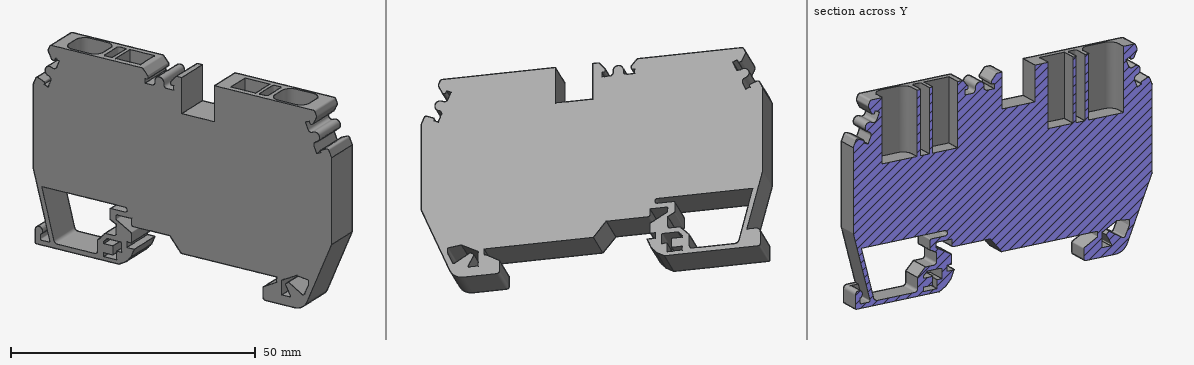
import cadquery as cq
import math


LENGTH = 72.0
THICKNESS = 8.0
HEIGHT = 44.9
END = LENGTH / 2
SPRING_LEG_Z = 16.7
HOOK_LEG_Z = 16.05
BELLY_Z = 9.15
RAIL_Z = 5.8
WALL = 1.1

CORNER_LOW_Z = 35.35
CORNER_TOP_X = 31.9
CORNER_ROUND = 0.6

NOTCH_LEFT = -0.15
NOTCH_WIDTH = 7.85
NOTCH_DEPTH = THICKNESS
CLEARANCE = 0.7

WINDOW_TOP = 13.0
SOLE_LEFT = -31.6
LATCH_LEFT = -20.5
LATCH_NECK_X = -16.0
LATCH_RIGHT = -12.25
LATCH_NOSE_Z = 4.2
SMALL_ROUND = 0.3

HOOK_LEFT = 19.45
HOOK_HOLE_LEFT = 24.0
HOOK_HOLE_BOTTOM = 2.15

CLIP_MIDDLE_X = -5.55
CLIP_CORNER_SHIFT = -0.2
CLIP_DEPTH = 3.25
CLIP_THROAT = 2.7
CLIP_STRAIGHT_THROAT = 2.95
CLIP_POCKET = 3.45
CLIP_MOUTH = 4.0
CLIP_REACH = 4.75
CLIP_LIP_TOP = 1.5
CLIP_LIP_BOTTOM = 2.2
LIP_ROUND = 0.3
STRAIGHT_LIP_ROUND = 0.5
MOUTH_ROUND = 0.6
POST_HALF_WIDTH = 1.1
POST_TOP = 1.1
POST_FOOT_ROUND = 0.7

OPENING_DEPTH = 14.4
OPENING_Y = 5.5
WIRE_X = 24.85
WIRE_SIZE = (8.3, 6.8)
WIRE_ROUND = 2.1
SLOT_X = 18.7
SLOT_WIDTH = 2.0
SLOT_ROUND = 0.35
SQUARE_X = 13.9
SQUARE_WIDTH = 6.0

CURL_LEFT = -35.5
CURL_RADIUS = 0.9
CURL_TOP = 4.0
KNOB_Z = CURL_TOP - CURL_RADIUS
STEM_WIDTH = 1.2
WEB_THICKNESS = 1.2


def rounded_outline(corners):
    """Closed XZ outline through (x, z) or (x, z, radius) corners."""
    starts, middles, ends = [], [], []
    count = len(corners)
    for i, corner in enumerate(corners):
        here = cq.Vector(corner[0], corner[1])
        radius = corner[2] if len(corner) == 3 else 0
        before = cq.Vector(*corners[i - 1][:2])
        after = cq.Vector(*corners[(i + 1) % count][:2])
        back = (before - here).normalized()
        ahead = (after - here).normalized()
        half = back.getAngle(ahead) / 2
        reach = radius / math.tan(half)
        bisector = (back + ahead).normalized() if radius else cq.Vector(0, 0)
        starts.append(here + back * reach)
        middles.append(here + bisector * (radius / math.sin(half) - radius))
        ends.append(here + ahead * reach)
    tiny = 7.2e-07
    path = cq.Workplane("XZ").moveTo(ends[-1].x, ends[-1].y)
    for i in range(count):
        if (starts[i] - ends[i - 1]).Length > tiny:
            path = path.lineTo(starts[i].x, starts[i].y)
        if (ends[i] - starts[i]).Length > tiny:
            path = path.threePointArc((middles[i].x, middles[i].y), (ends[i].x, ends[i].y))
    return path.close()


def through_body(corners):
    """Prism of a rounded outline over the full thickness."""
    return rounded_outline(corners).extrude(THICKNESS / 2, both=True)


def leg_outer_x(z):
    """X of the spring leg's slanted outer face at a height."""
    return SOLE_LEFT - (SOLE_LEFT + END) * z / SPRING_LEG_Z


def housing():
    """Body with its slanted legs, latch and hook, before any recess is cut."""
    stem_right = CURL_LEFT + STEM_WIDTH
    return through_body([
        (-END, CORNER_LOW_Z),
        (-CORNER_TOP_X, HEIGHT, CORNER_ROUND),
        (CORNER_TOP_X, HEIGHT, CORNER_ROUND),
        (END, CORNER_LOW_Z),
        (END, HOOK_LEG_Z),
        (29.2, 0, 3.25),
        (HOOK_LEFT, 0, 0.65),
        (HOOK_LEFT, 2.9, 0.35),
        (22.75, 4.7, SMALL_ROUND),
        (22.75, RAIL_Z),
        (-0.3, RAIL_Z),
        (-3.0, BELLY_Z),
        (LATCH_RIGHT, BELLY_Z, 0.4),
        (LATCH_RIGHT, 10.9),
        (LATCH_NECK_X, 10.9, SMALL_ROUND),
        (LATCH_NECK_X, 9.8, SMALL_ROUND),
        (LATCH_RIGHT, 7.6, 0.2),
        (LATCH_RIGHT, 5.4, 0.2),
        (-13.4, 5.4),
        (-13.4, LATCH_NOSE_Z),
        (-11.6, LATCH_NOSE_Z),
        (-12.4, 2.3),
        (-13.6, 0.9),
        (-15.3, 0),
        (CURL_LEFT, 0, 0.35),
        (CURL_LEFT, KNOB_Z),
        (stem_right, KNOB_Z),
        (stem_right, WALL, SMALL_ROUND),
        (leg_outer_x(WALL), WALL, SMALL_ROUND),
        (-END, SPRING_LEG_Z),
    ])


def spring_window():
    """Opening enclosed by the slanted leg, the sole and the latch."""
    slot_round = WALL / 2
    slot_bottom = WINDOW_TOP - WALL
    return through_body([
        (-33.9, WINDOW_TOP),
        (-13.3, WINDOW_TOP, slot_round),
        (-13.3, slot_bottom, slot_round),
        (-17.5, slot_bottom, SMALL_ROUND),
        (-17.5, 9.5, SMALL_ROUND),
        (LATCH_NECK_X, 8.7),
        (LATCH_NECK_X, 6.1, 0.6),
        (-18.65, 6.1),
        (LATCH_LEFT, LATCH_NOSE_Z),
        (LATCH_LEFT, WALL, 0.65),
        (-30.8, WALL, 0.9),
    ])


def latch_hole():
    """C-shaped hole in the latch."""
    return through_body([
        (-19.0, LATCH_NOSE_Z),
        (-18.15, 5.05),
        (-14.7, 5.05, SMALL_ROUND),
        (-14.7, 2.8),
        (-15.85, 2.8),
        (-15.85, 0.9),
        (-19.0, 0.9),
        (-19.0, 1.7),
        (-16.8, 1.7),
        (-16.8, 3.75),
        (-19.0, 3.75),
    ])


def hook_hole():
    """Hole in the hook foot, with a tongue pointing into it."""
    return through_body([
        (HOOK_HOLE_LEFT, 5.4),
        (27.5, 7.3),
        (30.5, 6.9, 0.35),
        (30.4, 5.7),
        (29.2, 3.2, 0.35),
        (25.55, 5.4),
        (24.85, 4.75),
        (26.1, 2.3, 0.15),
        (25.9, HOOK_HOLE_BOTTOM),
        (HOOK_HOLE_LEFT, HOOK_HOLE_BOTTOM),
    ])


def foot_curl():
    """Round end of the spring foot's curled tip, and the web behind it."""
    knob = (
        cq.Workplane("XZ")
        .center(CURL_LEFT + CURL_RADIUS, KNOB_Z)
        .circle(CURL_RADIUS)
        .extrude(THICKNESS / 2, both=True)
    )
    web = (
        cq.Workplane("XZ", origin=(0, THICKNESS / 2, 0))
        .polyline([
            (CURL_LEFT + CURL_RADIUS, CURL_TOP),
            (CURL_LEFT + CURL_RADIUS, WALL / 2),
            (SOLE_LEFT, WALL / 2),
            (leg_outer_x(CURL_TOP), CURL_TOP),
        ])
        .close()
        .extrude(WEB_THICKNESS)
    )
    return knob.union(web)


def clip_side(side, bevelled):
    """Recess corners from the mouth to the post on one side (-1 left, 1 right)."""
    if bevelled:
        throat = CLIP_THROAT
        lip_top = [
            (side * CLIP_MOUTH, 0, MOUTH_ROUND),
            (side * throat, -CLIP_LIP_TOP, LIP_ROUND),
        ]
    else:
        throat = CLIP_STRAIGHT_THROAT
        lip_top = [(side * throat, 0, STRAIGHT_LIP_ROUND)]
    return [
        (side * CLIP_REACH, CLIP_DEPTH),
        (side * CLIP_REACH, 0),
        *lip_top,
        (side * throat, -CLIP_LIP_BOTTOM, LIP_ROUND),
        (side * CLIP_POCKET, -CLIP_LIP_BOTTOM),
        (side * CLIP_POCKET, -CLIP_DEPTH),
        (side * POST_HALF_WIDTH, -CLIP_DEPTH, POST_FOOT_ROUND),
        (side * POST_HALF_WIDTH, -POST_TOP, POST_HALF_WIDTH),
    ]


def clip_recess(both_bevelled):
    """Marker clip recess with its mouth at Z = 0, centred on X = 0."""
    left = clip_side(-1, both_bevelled)
    right = clip_side(1, True)
    return through_body(left + right[::-1])


def corner_clip():
    """Clip recess laid into the slanted left corner."""
    run = END - CORNER_TOP_X
    rise = HEIGHT - CORNER_LOW_Z
    tilt = math.atan2(rise, run)
    centre_x = -(END + CORNER_TOP_X) / 2 + CLIP_CORNER_SHIFT * math.cos(tilt)
    centre_z = (HEIGHT + CORNER_LOW_Z) / 2 + CLIP_CORNER_SHIFT * math.sin(tilt)
    recess = clip_recess(both_bevelled=False)
    recess = recess.rotate((0, 0, 0), (0, 1, 0), -math.degrees(tilt))
    return recess.translate((centre_x, 0, centre_z))


def top_opening(x, width, depth_y, corner_round=0):
    """Blind rectangular opening sunk from the top."""
    opening = cq.Workplane("XY", origin=(x, 0, HEIGHT)).rect(width, depth_y).extrude(-OPENING_DEPTH)
    return opening.edges("|Z").fillet(corner_round) if corner_round else opening


def notch():
    """Square-bottomed notch between the two halves."""
    return through_body([
        (NOTCH_LEFT, HEIGHT + CLEARANCE),
        (NOTCH_LEFT, HEIGHT - NOTCH_DEPTH),
        (NOTCH_LEFT + NOTCH_WIDTH, HEIGHT - NOTCH_DEPTH),
        (NOTCH_LEFT + NOTCH_WIDTH, HEIGHT + CLEARANCE),
    ])


result = housing().cut(spring_window()).cut(latch_hole()).cut(hook_hole()).union(foot_curl())
result = result.cut(notch())
result = result.cut(clip_recess(both_bevelled=True).translate((CLIP_MIDDLE_X, 0, HEIGHT)))
left_clip = corner_clip()
result = result.cut(left_clip).cut(left_clip.mirror("YZ"))
for side in (-1, 1):
    result = result.cut(top_opening(side * WIRE_X, *WIRE_SIZE, WIRE_ROUND))
    result = result.cut(top_opening(side * SLOT_X, SLOT_WIDTH, OPENING_Y, SLOT_ROUND))
    result = result.cut(top_opening(side * SQUARE_X, SQUARE_WIDTH, OPENING_Y))